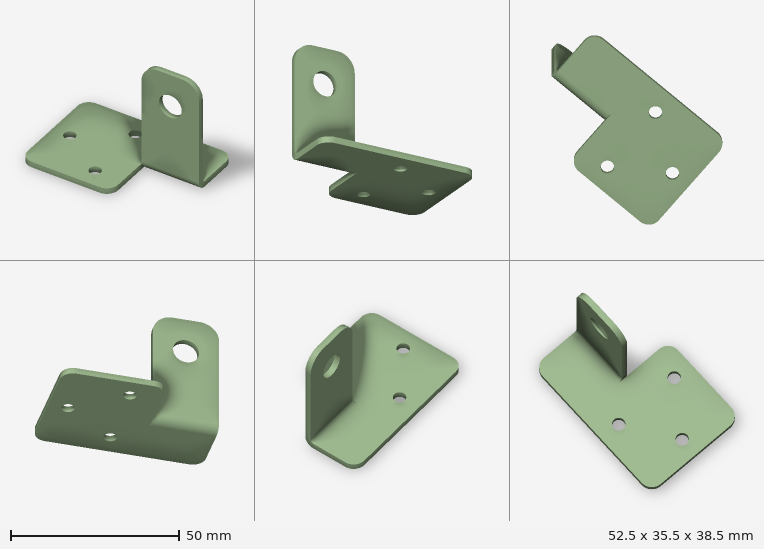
import cadquery as cq

thickness = 2.0
inner_bend_radius = 1.0
outer_bend_radius = inner_bend_radius + thickness
length = 52.49
depth = 35.5
height = 38.5

plate_corner_radius = 4.0
wide_part_length = 31.95
mount_hole_diameter = 4.0
mount_hole_center_y = 17.5
mount_hole_spacing_y = 11.0
single_hole_x = 6.25
paired_holes_x = 22.25

relief_width = 0.15
tab_left_x = wide_part_length + relief_width
tab_width = length - tab_left_x
tab_front_y = 16.5
bend_start_y = tab_front_y + outer_bend_radius
tab_corner_radius = 6.0
tab_hole_diameter = 8.0
tab_hole_x = tab_left_x + tab_width / 2
tab_hole_z = 27.0


def make_base_plate():
    """L-shaped flat plate with rounded free corners and three mounting holes."""
    outline = [
        (0, 0),
        (wide_part_length, 0),
        (wide_part_length, bend_start_y),
        (length, bend_start_y),
        (length, depth),
        (0, depth),
    ]
    plate = (
        cq.Workplane("XY")
        .polyline(outline)
        .close()
        .extrude(thickness)
        .edges("|Z and (<X or <Y or >Y)")
        .fillet(plate_corner_radius)
    )
    hole_centers = [
        (single_hole_x, mount_hole_center_y),
        (paired_holes_x, mount_hole_center_y - mount_hole_spacing_y),
        (paired_holes_x, mount_hole_center_y + mount_hole_spacing_y),
    ]
    holes = (
        cq.Workplane("XY")
        .pushPoints(hole_centers)
        .circle(mount_hole_diameter / 2)
        .extrude(thickness)
    )
    return plate.cut(holes)


def make_tab():
    """Upright tab joined to the arm by a quarter-round bend."""
    tab_back_y = tab_front_y + thickness
    tab = (
        cq.Workplane("YZ", origin=(tab_left_x, 0, 0))
        .moveTo(bend_start_y, 0)
        .lineTo(bend_start_y, thickness)
        .radiusArc((tab_back_y, outer_bend_radius), inner_bend_radius)
        .lineTo(tab_back_y, height)
        .lineTo(tab_front_y, height)
        .lineTo(tab_front_y, outer_bend_radius)
        .radiusArc((bend_start_y, 0), -outer_bend_radius)
        .close()
        .extrude(tab_width)
        .edges("|Y and >Z")
        .fillet(tab_corner_radius)
    )
    hole = (
        cq.Workplane("XZ", origin=(tab_hole_x, tab_back_y, tab_hole_z))
        .circle(tab_hole_diameter / 2)
        .extrude(thickness)
    )
    return tab.cut(hole)


result = make_base_plate().union(make_tab())